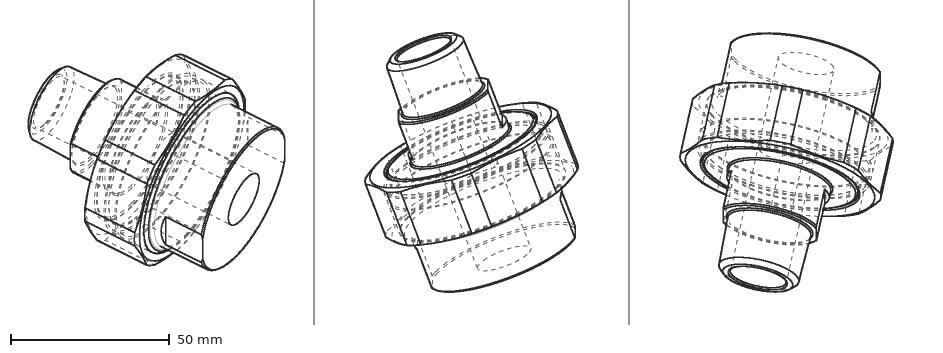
import cadquery as cq
import math


TOTAL_LENGTH = 73.5
BORE_RADIUS = 18.0 / 2
EDGE_CHAMFER = 0.5
CUT_MARGIN = 1.0

COLLAR_START = 18.1
NUT_START = 34.0
NUT_LENGTH = 20.0
NUT_END = NUT_START + NUT_LENGTH
LIP_LENGTH = 5.0
LIP_END = NUT_START + LIP_LENGTH
SHOULDER_LENGTH = 4.0
JOINT = LIP_END + SHOULDER_LENGTH

TAPER_END_RADIUS = 13.45
TAPER_TIP_RADIUS = 12.92
TIP_CHAMFER = 1.65
COLLAR_RADIUS = 33.0 / 2
COLLAR_FLAT_OFFSET = 15.0
COLLAR_FLAT_END = 31.1
FLANGE_RADIUS = 50.0 / 2
FLANGE_CHAMFER = 0.6
SHOULDER_RADIUS = 54.0 / 2

NUT_ACROSS_FLATS = 62.0
NUT_SIDES = 8
NUT_CORNER_RADIUS = 64.7 / 2
NUT_FACE_RADIUS = 61.0 / 2
NUT_CHAMFER_ANGLE = 20.0
LIP_BORE_RADIUS = 50.5 / 2
THREAD_RADIUS = 55.85 / 2

ADAPTER_RADIUS = 50.0 / 2
ADAPTER_FILLET = 1.0
THREAD_OVERHANG = 0.9
THREAD_END = NUT_END + THREAD_OVERHANG
THREAD_END_RADIUS = 26.65
ADAPTER_FLAT_OFFSET = 24.0
ADAPTER_FLAT_START = 59.6


def revolve_about_x(profile):
    """Revolve a closed profile of (x, radius) a full turn about the X axis."""
    return profile.close().revolve(360, (0, 0, 0), (1, 0, 0))


def make_tail():
    taper_end = COLLAR_START - EDGE_CHAMFER
    profile = (
        cq.Workplane("XY")
        .moveTo(0, BORE_RADIUS + EDGE_CHAMFER)
        .lineTo(0, TAPER_TIP_RADIUS - TIP_CHAMFER)
        .lineTo(TIP_CHAMFER, TAPER_TIP_RADIUS)
        .lineTo(taper_end, TAPER_END_RADIUS)
        .lineTo(COLLAR_START, TAPER_END_RADIUS + EDGE_CHAMFER)
        .lineTo(COLLAR_START, COLLAR_RADIUS - EDGE_CHAMFER)
        .lineTo(COLLAR_START + EDGE_CHAMFER, COLLAR_RADIUS)
        .lineTo(NUT_START - EDGE_CHAMFER, COLLAR_RADIUS)
        .lineTo(NUT_START, COLLAR_RADIUS + EDGE_CHAMFER)
        .lineTo(NUT_START, FLANGE_RADIUS - FLANGE_CHAMFER)
        .lineTo(NUT_START + FLANGE_CHAMFER, FLANGE_RADIUS)
        .lineTo(LIP_END, FLANGE_RADIUS)
        .lineTo(LIP_END, SHOULDER_RADIUS)
        .lineTo(JOINT, SHOULDER_RADIUS)
        .lineTo(JOINT, BORE_RADIUS)
        .lineTo(EDGE_CHAMFER, BORE_RADIUS)
    )
    body = revolve_about_x(profile)

    flat_cutter = cq.Workplane("XY").box(
        COLLAR_FLAT_END - COLLAR_START,
        COLLAR_RADIUS - COLLAR_FLAT_OFFSET + CUT_MARGIN,
        2 * COLLAR_RADIUS,
        centered=(False, False, True),
    ).translate((COLLAR_START, COLLAR_FLAT_OFFSET, 0))
    return body.cut(flat_cutter).cut(flat_cutter.mirror("XZ"))


def make_nut():
    across_corners = NUT_ACROSS_FLATS / math.cos(math.pi / NUT_SIDES)
    prism = (
        cq.Workplane("YZ")
        .workplane(offset=NUT_START)
        .polygon(NUT_SIDES, across_corners)
        .extrude(NUT_LENGTH)
    )

    corner_drop = NUT_CORNER_RADIUS - NUT_FACE_RADIUS
    chamfer_length = corner_drop * math.tan(math.radians(NUT_CHAMFER_ANGLE))
    envelope = revolve_about_x(
        cq.Workplane("XY")
        .moveTo(NUT_START, LIP_BORE_RADIUS + EDGE_CHAMFER)
        .lineTo(NUT_START, NUT_FACE_RADIUS)
        .lineTo(NUT_START + chamfer_length, NUT_CORNER_RADIUS)
        .lineTo(NUT_END - chamfer_length, NUT_CORNER_RADIUS)
        .lineTo(NUT_END, NUT_FACE_RADIUS)
        .lineTo(NUT_END, THREAD_RADIUS)
        .lineTo(LIP_END, THREAD_RADIUS)
        .lineTo(LIP_END, LIP_BORE_RADIUS)
        .lineTo(NUT_START + EDGE_CHAMFER, LIP_BORE_RADIUS)
    )
    return prism.intersect(envelope)


def make_adapter():
    thread_chamfer = THREAD_RADIUS - THREAD_END_RADIUS
    fillet_middle = ADAPTER_FILLET * (1 - math.sqrt(0.5))
    profile = (
        cq.Workplane("XY")
        .moveTo(JOINT, BORE_RADIUS)
        .lineTo(JOINT, THREAD_RADIUS)
        .lineTo(THREAD_END - thread_chamfer, THREAD_RADIUS)
        .lineTo(THREAD_END, THREAD_END_RADIUS)
        .lineTo(THREAD_END, ADAPTER_RADIUS + ADAPTER_FILLET)
        .threePointArc(
            (THREAD_END + fillet_middle, ADAPTER_RADIUS + fillet_middle),
            (THREAD_END + ADAPTER_FILLET, ADAPTER_RADIUS),
        )
        .lineTo(TOTAL_LENGTH - EDGE_CHAMFER, ADAPTER_RADIUS)
        .lineTo(TOTAL_LENGTH, ADAPTER_RADIUS - EDGE_CHAMFER)
        .lineTo(TOTAL_LENGTH, BORE_RADIUS)
    )
    body = revolve_about_x(profile)

    cutter_height = ADAPTER_RADIUS - ADAPTER_FLAT_OFFSET + CUT_MARGIN
    cutter_top = ADAPTER_FLAT_OFFSET + cutter_height
    flat_cutter = (
        cq.Workplane("XY")
        .moveTo(ADAPTER_FLAT_START, ADAPTER_FLAT_OFFSET)
        .lineTo(TOTAL_LENGTH + CUT_MARGIN, ADAPTER_FLAT_OFFSET)
        .lineTo(TOTAL_LENGTH + CUT_MARGIN, cutter_top)
        .lineTo(ADAPTER_FLAT_START - cutter_height, cutter_top)
        .close()
        .extrude(ADAPTER_RADIUS, both=True)
    )
    return body.cut(flat_cutter).cut(flat_cutter.mirror("XZ"))


tail = make_tail()
nut = make_nut()
adapter = make_adapter()

bodies = [body.solids().val() for body in (tail, nut, adapter)]
result = cq.Compound.makeCompound(bodies)